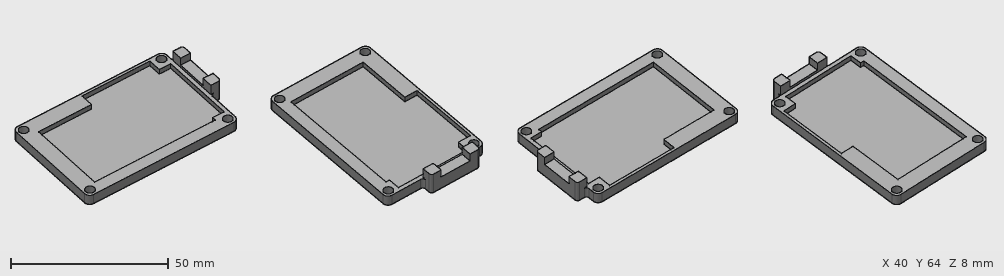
import cadquery as cq

overall_length = 64
overall_height = 8.0

plate_width = 40.0
plate_height = overall_height / 2
tab_depth = plate_height
plate_length = overall_length - tab_depth
plate_corner_radius = 2.0

hole_diameter = 3.4
hole_inset = 2.5

pocket_depth = 2.0
pocket_left = 1.0
pocket_inner_left = 6.0
pocket_right = 35.55
pocket_inner_right = 34.15
pocket_back = plate_length - 1.5
pocket_shoulder = plate_length - 6.0
pocket_left_step = plate_length - 33.1
pocket_front = plate_length - 54.2

tab_left = 5.2
tab_width = 20.0
tab_corner_radius = 1.0
root_fillet_radius = 1.0
post_width = 4.1
saddle_height = 5.0


def make_plate():
    return (
        cq.Workplane("XY")
        .box(plate_width, plate_length, plate_height, centered=False)
        .edges("|Z")
        .fillet(plate_corner_radius)
    )


def make_tab():
    tab = (
        cq.Workplane("XY")
        .box(tab_width, tab_depth, overall_height, centered=False)
        .edges("|Z and >Y")
        .fillet(tab_corner_radius)
    )
    saddle = (
        cq.Workplane("XY")
        .box(tab_width - 2 * post_width, tab_depth, overall_height - saddle_height, centered=False)
        .translate((post_width, 0, saddle_height))
    )
    return tab.cut(saddle).translate((tab_left, plate_length, 0))


def make_root_fillet(tab_side, outward):
    """Concave fillet between the plate back and a tab side; outward is -1 or 1 along X."""
    reach = outward * root_fillet_radius
    return (
        cq.Workplane("XY")
        .moveTo(tab_side, plate_length)
        .lineTo(tab_side + reach, plate_length)
        .radiusArc((tab_side, plate_length + root_fillet_radius), reach)
        .close()
        .extrude(plate_height)
    )


def make_pocket():
    outline = [
        (pocket_inner_left, pocket_back),
        (pocket_inner_right, pocket_back),
        (pocket_inner_right, pocket_shoulder),
        (pocket_right, pocket_shoulder),
        (pocket_right, pocket_front),
        (pocket_inner_left, pocket_front),
        (pocket_inner_left, pocket_left_step),
        (pocket_left, pocket_left_step),
        (pocket_left, pocket_shoulder),
        (pocket_inner_left, pocket_shoulder),
    ]
    floor = cq.Workplane("XY").workplane(offset=plate_height - pocket_depth)
    return floor.polyline(outline).close().extrude(pocket_depth)


def make_holes():
    centers = [
        (x, y)
        for x in (hole_inset, plate_width - hole_inset)
        for y in (hole_inset, plate_length - hole_inset)
    ]
    return cq.Workplane("XY").pushPoints(centers).circle(hole_diameter / 2).extrude(plate_height)


body = make_plate().union(make_tab())
body = body.union(make_root_fillet(tab_left, -1))
body = body.union(make_root_fillet(tab_left + tab_width, 1))
result = body.cut(make_pocket()).cut(make_holes())